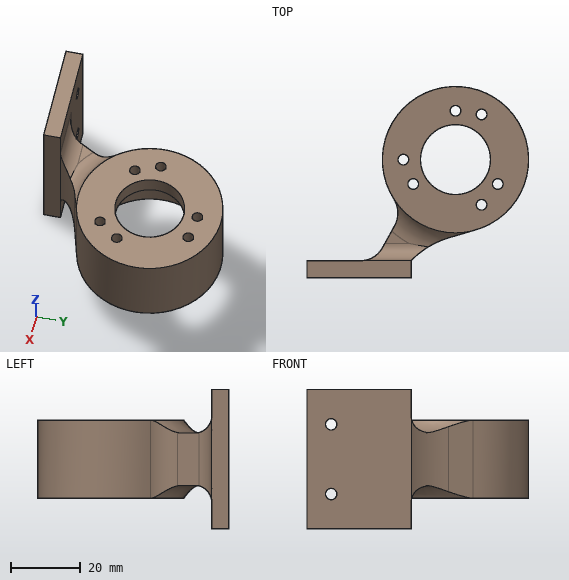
import cadquery as cq
import math


length = 63.7
depth = 55.0
plate_height = 40.0

ring_radius = 21.0
ring_height = 22.5
bore_radius = 10.0
flange_thickness = 5.0
cavity_radius = 19.0

flange_hole_diameter = 3.0
hole_sets = [(15.0, 60), (14.0, 90)]
holes_per_set = 3

plate_length = 30.0
plate_thickness = 5.0
plate_hole_diameter = 3.2
plate_hole_inset = 7.0
plate_hole_spacing = 20.0
plate_left = ring_radius - length
plate_right = plate_left + plate_length
plate_front = ring_radius - depth
plate_back = plate_front + plate_thickness

arm_height = 15.0
arm_lean = math.radians(61)
arm_foot_radius = 7.0
arm_side_start = (-21.0, -25.35)
arm_side_length = 7.15
left_ring_angle = 213
right_ring_angle = 284
right_side_middle = (-7.85, -25.1)
right_side_end = (-2.0, -22.5)
plate_flare_radius = 5.0
ring_flare_reach = 6.5


def polar(radius, angle):
    """Point at a radius and an angle in degrees about the ring axis."""
    return (radius * math.cos(math.radians(angle)), radius * math.sin(math.radians(angle)))


def blend_middle(far_end, tangent_end, direction):
    """Middle of the arc between two points that leaves tangent_end along direction."""
    dx = far_end[0] - tangent_end[0]
    dy = far_end[1] - tangent_end[1]
    turn = math.atan2(dy, dx) - direction
    bulge = math.tan(turn / 2) / 2
    return (
        tangent_end[0] + dx / 2 + dy * bulge,
        tangent_end[1] + dy / 2 - dx * bulge,
    )


def make_plate():
    plate = cq.Workplane("XY").box(
        plate_length, plate_thickness, plate_height, centered=(False, False, True)
    ).translate((plate_left, plate_front, 0))
    holes = (
        cq.Workplane("XZ", origin=(plate_left + plate_hole_inset, plate_back, 0))
        .pushPoints([(0, -plate_hole_spacing / 2), (0, plate_hole_spacing / 2)])
        .circle(plate_hole_diameter / 2)
        .extrude(plate_thickness)
    )
    return plate.cut(holes)


def make_arm_outline():
    """Full-height prism with the curved plan shape of the arm."""
    start_x, start_y = arm_side_start
    foot_x = start_x - arm_foot_radius * math.sin(arm_lean)
    side_end = (
        start_x + arm_side_length * math.cos(arm_lean),
        start_y + arm_side_length * math.sin(arm_lean),
    )
    ring_point = polar(ring_radius, left_ring_angle)
    left_arc_middle = blend_middle(ring_point, side_end, arm_lean)
    return (
        cq.Workplane("XY", origin=(0, 0, -plate_height / 2))
        .moveTo(plate_right, plate_back)
        .threePointArc(right_side_middle, right_side_end)
        .tangentArcPoint(polar(ring_radius, right_ring_angle), relative=False)
        .lineTo(0, 0)
        .lineTo(*ring_point)
        .threePointArc(left_arc_middle, side_end)
        .lineTo(start_x, start_y)
        .tangentArcPoint((foot_x, plate_back), relative=False)
        .close()
        .extrude(plate_height)
    )


def make_plate_flare():
    """Arm thickness along Y: flat, widening with round blends at the plate."""
    half = arm_height / 2
    radius = plate_flare_radius
    corner = radius * (1 - math.sqrt(0.5))
    return (
        cq.Workplane("YZ", origin=(plate_left, 0, 0))
        .moveTo(plate_back, half + radius)
        .threePointArc((plate_back + corner, half + corner), (plate_back + radius, half))
        .lineTo(0, half)
        .lineTo(0, -half)
        .lineTo(plate_back + radius, -half)
        .threePointArc((plate_back + corner, -half - corner), (plate_back, -half - radius))
        .close()
        .extrude(length)
    )


def make_ring_flare():
    """Arm thickness about the ring axis: flat, curving out to the ring's rims."""
    half = arm_height / 2
    rim = ring_height / 2
    outer = ring_radius + ring_flare_reach
    middle_radius, middle_height = blend_middle((ring_radius, rim), (outer, half), math.pi)
    return (
        cq.Workplane("XZ")
        .moveTo(0, -rim)
        .lineTo(ring_radius, -rim)
        .threePointArc((middle_radius, -middle_height), (outer, -half))
        .lineTo(outer, half)
        .threePointArc((middle_radius, middle_height), (ring_radius, rim))
        .lineTo(0, rim)
        .close()
        .revolve(360, (0, 0, 0), (0, 1, 0))
    )


def make_ring():
    return cq.Workplane("XY").circle(ring_radius).extrude(ring_height / 2, both=True)


def make_ring_openings():
    """Cavity, bore and flange holes, all along the ring axis direction."""
    bottom = cq.Workplane("XY", origin=(0, 0, -ring_height / 2))
    openings = bottom.circle(cavity_radius).extrude(ring_height - flange_thickness)
    openings = openings.union(bottom.circle(bore_radius).extrude(ring_height))
    for circle_radius, first_angle in hole_sets:
        points = [
            polar(circle_radius, first_angle + 360 * i / holes_per_set)
            for i in range(holes_per_set)
        ]
        holes = bottom.pushPoints(points).circle(flange_hole_diameter / 2).extrude(ring_height)
        openings = openings.union(holes)
    return openings


arm_outline = make_arm_outline()
result = (
    make_plate()
    .union(arm_outline.intersect(make_plate_flare()))
    .union(arm_outline.intersect(make_ring_flare()))
    .union(make_ring())
    .cut(make_ring_openings())
)